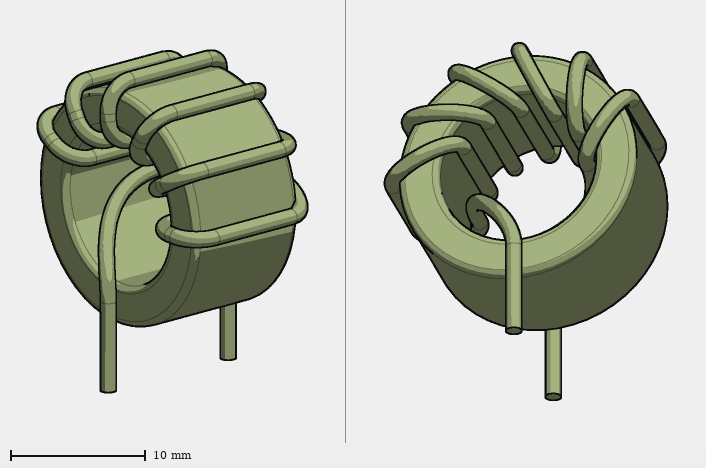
import cadquery as cq
import math

core_diameter = 18.2
bore_diameter = 12.0
core_width = 10.0
core_fillet = 0.5

wire_diameter = 1.2
wire_radius = wire_diameter / 2
wire_span = 12.8
outer_gap = 0.11
bend_radius = 2.05
flat_length = 0.6

turn_pitch = 30
turn_angles = [150, 120, 90, 60, 30, 0]

lead_top = -7.1
lead_bottom = -14.1

back_pull = 2.6
lead_pull = 3.1
bore_pull = 7.0

outer_radius = core_diameter / 2 + outer_gap + wire_radius
inner_radius = outer_radius - 2 * bend_radius - flat_length
face_offset = wire_span / 2 - wire_radius
bend_start = face_offset - bend_radius

along_y = cq.Vector(0, 1, 0)
against_y = cq.Vector(0, -1, 0)
up = cq.Vector(0, 0, 1)


def polar(radius, angle, y):
    """Point at a radius and angle around the core axis."""
    turn = math.radians(angle)
    return cq.Vector(radius * math.cos(turn), y, radius * math.sin(turn))


def front_bends(angle):
    """Outer straight stretch of a turn and its two bends in front of the core."""
    diagonal = bend_radius * math.sqrt(0.5)
    outer_centre = outer_radius - bend_radius
    inner_centre = inner_radius + bend_radius
    mid_y = -bend_start - diagonal
    outer_back = polar(outer_radius, angle, bend_start)
    outer_front = polar(outer_radius, angle, -bend_start)
    flat_outer = polar(outer_centre, angle, -face_offset)
    flat_inner = polar(inner_centre, angle, -face_offset)
    inner_front = polar(inner_radius, angle, -bend_start)
    return [
        cq.Edge.makeLine(outer_back, outer_front),
        cq.Edge.makeThreePointArc(outer_front, polar(outer_centre + diagonal, angle, mid_y), flat_outer),
        cq.Edge.makeLine(flat_outer, flat_inner),
        cq.Edge.makeThreePointArc(flat_inner, polar(inner_centre - diagonal, angle, mid_y), inner_front),
    ]


def pulled_curve(start, start_pull, end, end_pull):
    """Cubic curve between two points, shaped by a pull away from each end."""
    degree = 3
    tangents = [start_pull * degree, end_pull * -degree]
    return cq.Edge.makeSpline([start, end], tangents=tangents, parameters=[0, 1], scale=False)


def back_bend(outer_angle):
    """Curve behind the core, from the bore out to the next turn's outer stretch."""
    inner_angle = outer_angle + turn_pitch
    start = polar(inner_radius, inner_angle, bend_start)
    end = polar(outer_radius, outer_angle, bend_start)
    return pulled_curve(start, along_y * back_pull, end, along_y * back_pull)


def build_core():
    """Ring with rounded rims."""
    back_face = cq.Workplane("XZ", origin=(0, core_width / 2, 0))
    ring = back_face.circle(core_diameter / 2).circle(bore_diameter / 2).extrude(core_width)
    return ring.faces("<Y or >Y").edges().fillet(core_fillet)


def bore_stretch(angle):
    """Straight stretch through the bore, from front to back."""
    return cq.Edge.makeLine(
        polar(inner_radius, angle, -bend_start),
        polar(inner_radius, angle, bend_start))


def build_wire():
    """One continuous wire: front lead, turns in order, back lead."""
    lead_start = cq.Vector(0, -face_offset, lead_bottom)
    bend_top = cq.Vector(0, -face_offset, lead_top)
    first_angle = turn_angles[0] + turn_pitch
    bore_back = polar(inner_radius, first_angle, bend_start)
    edges = [
        cq.Edge.makeLine(lead_start, bend_top),
        pulled_curve(bend_top, up * lead_pull, bore_back, against_y * bore_pull),
    ]
    for angle in turn_angles:
        if angle != turn_angles[0]:
            edges.append(bore_stretch(angle + turn_pitch))
        edges.append(back_bend(angle))
        edges += front_bends(angle)
    bore_front = polar(inner_radius, turn_angles[-1], -bend_start)
    back_top = cq.Vector(0, face_offset, lead_top)
    edges.append(pulled_curve(bore_front, along_y * bore_pull, back_top, up * lead_pull))
    edges.append(cq.Edge.makeLine(back_top, cq.Vector(0, face_offset, lead_bottom)))
    path = cq.Wire.assembleEdges(edges)
    profile = cq.Workplane("XY", origin=lead_start.toTuple()).circle(wire_radius)
    return profile.sweep(cq.Workplane(path), isFrenet=True)


wire = build_wire()
core = build_core().cut(wire)
result = cq.Compound.makeCompound([core.solids().val(), wire.val()])